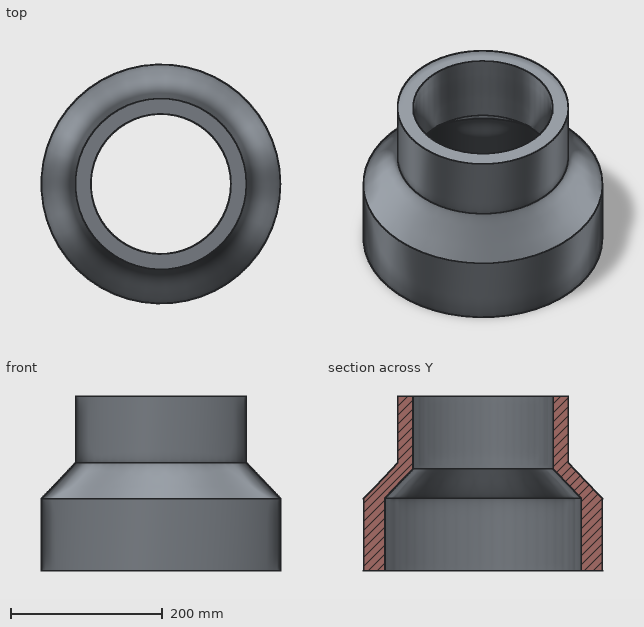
import cadquery as cq

large_diameter = 315.0
large_wall = 28.7
large_length = 95.0

small_diameter = 225.0
small_wall = 20.5
small_length = 87.5

total_height = 230.0
bore_taper_start_depth = 95.8
bore_taper_end_depth = 134.2

large_radius = large_diameter / 2
small_radius = small_diameter / 2
large_bore_radius = large_radius - large_wall
small_bore_radius = small_radius - small_wall

outer_wall = [
    (large_radius, 0),
    (large_radius, large_length),
    (small_radius, total_height - small_length),
    (small_radius, total_height),
]
inner_wall = [
    (small_bore_radius, total_height),
    (small_bore_radius, total_height - bore_taper_start_depth),
    (large_bore_radius, total_height - bore_taper_end_depth),
    (large_bore_radius, 0),
]

result = (
    cq.Workplane("XZ")
    .polyline(outer_wall + inner_wall)
    .close()
    .revolve(360, (0, 0, 0), (0, 1, 0))
)